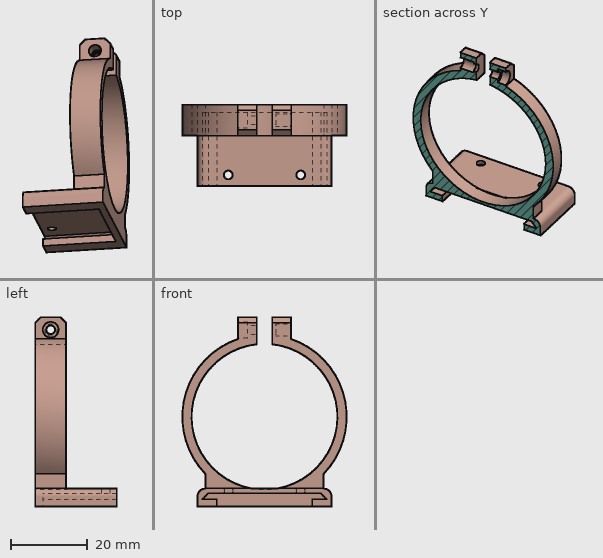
import cadquery as cq
import math

base_width = 34.98
base_length = 21.25
base_height = 4.75
base_edge_radius = 2.07
lip_height = 1.95
lip_opening = 24.8
slot_height = 3.5
slot_roof_width = 29.35
slot_floor_width = 32.3
slot_end_wall = 2.0

ring_outer_diameter = 42.9
ring_inner_diameter = 37.95
ring_center_height = 23.4
ring_depth = 8.05
pedestal_width = base_width - 2 * base_edge_radius
split_gap = 4.0

total_height = 49.4
lug_thickness = 4.95
lug_chamfer = 1.5
screw_drop = 3.3
screw_diameter = 2.2
screw_head_diameter = 4.1
screw_head_depth = 2.45
insert_diameter = 3.2
insert_depth = 4.0

mount_diameter = 2.2
mount_spacing = 18.85
mount_from_front = 2.9

ring_front = base_length - ring_depth
ring_middle = base_length - ring_depth / 2
lug_outer_x = split_gap / 2 + lug_thickness
screw_height = total_height - screw_drop


def block(width, y_start, y_end, z_start, z_end):
    """Box centred on X between the given Y and Z limits."""
    size = (width, y_end - y_start, z_end - z_start)
    return cq.Workplane("XY").box(*size, centered=(True, False, False)).translate((0, y_start, z_start))


def ring_cylinder(diameter):
    """Cylinder along Y with the depth and centre of the ring."""
    plane = cq.Workplane("XZ", origin=(0, base_length, ring_center_height))
    return plane.circle(diameter / 2).extrude(ring_depth)


def screw_cylinder(diameter, x_start, x_end):
    """Cylinder along X on the clamping screw axis."""
    plane = cq.Workplane("YZ", origin=(x_start, ring_middle, screw_height))
    return plane.circle(diameter / 2).extrude(x_end - x_start)


def make_base():
    base = block(base_width, 0, base_length, 0, base_height)
    base = base.edges("|Y and >Z").fillet(base_edge_radius)
    slot_length = base_length - slot_end_wall
    opening = block(lip_opening, 0, slot_length, 0, slot_height)
    dovetail = (
        cq.Workplane("XZ")
        .moveTo(-slot_floor_width / 2, lip_height)
        .lineTo(slot_floor_width / 2, lip_height)
        .lineTo(slot_roof_width / 2, slot_height)
        .lineTo(-slot_roof_width / 2, slot_height)
        .close()
        .extrude(-slot_length)
    )
    holes = (
        cq.Workplane("XY")
        .pushPoints([(-mount_spacing / 2, mount_from_front), (mount_spacing / 2, mount_from_front)])
        .circle(mount_diameter / 2)
        .extrude(base_height)
    )
    return base.cut(opening).cut(dovetail).cut(holes)


def make_clamp():
    lugs = block(2 * lug_outer_x, ring_front, base_length, ring_center_height, total_height)
    lugs = lugs.edges("|X and >Z").chamfer(lug_chamfer)
    pedestal_top = ring_center_height - math.sqrt(ring_outer_diameter**2 - pedestal_width**2) / 2
    pedestal = block(pedestal_width, ring_front, base_length, base_height, pedestal_top)
    below_base = block(ring_outer_diameter, ring_front, base_length, 0, base_height)
    clamp = ring_cylinder(ring_outer_diameter).union(lugs).union(pedestal)
    clamp = clamp.cut(below_base)
    split = block(split_gap, ring_front, base_length, ring_center_height, total_height)
    screw_hole = screw_cylinder(screw_diameter, -lug_outer_x, lug_outer_x)
    head_recess = screw_cylinder(screw_head_diameter, -lug_outer_x, screw_head_depth - lug_outer_x)
    insert_recess = screw_cylinder(insert_diameter, lug_outer_x - insert_depth, lug_outer_x)
    return clamp.cut(split).cut(screw_hole).cut(head_recess).cut(insert_recess)


bore = ring_cylinder(ring_inner_diameter)
result = make_base().union(make_clamp()).cut(bore)